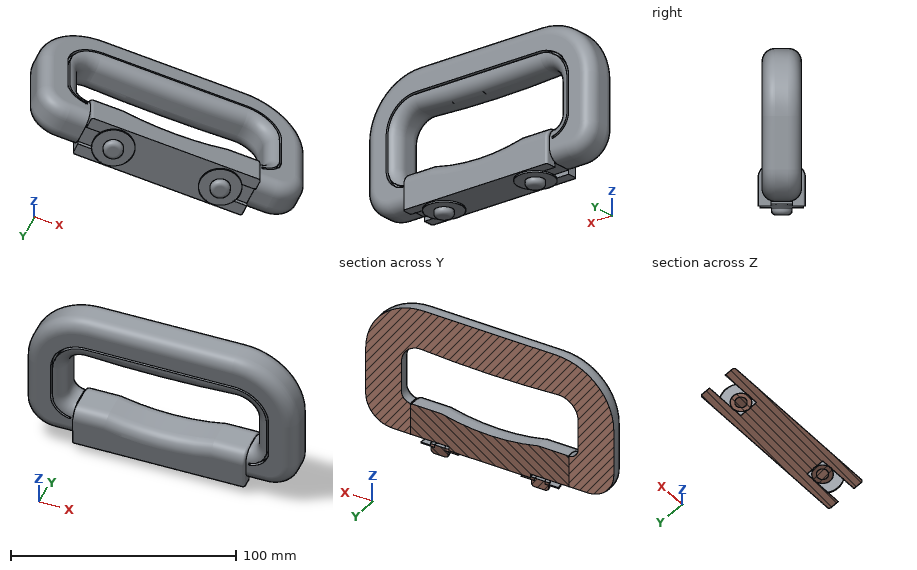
import cadquery as cq
import math


LOOP_LENGTH = 129.0
LOOP_HEIGHT = 68.0
LOOP_DEPTH = 17.5
OUTER_TOP_RADIUS = 30.0
OUTER_BOTTOM_RADIUS = 14.0
ROUND_RADIUS = 5.9

SIDE_WIDTH = 18.8
TOP_WIDTH = 21.0
GRIP_CROWN = 1.2
OPENING_BOTTOM = 16.5
OPENING_TOP_RADIUS = 9.8
OPENING_BOTTOM_RADIUS = 4.8

GROOVE_WIDTH = 1.0
GROOVE_DEPTH = 2.0
GROOVE_SIDE_INSET = 13.0
GROOVE_TOP_INSET = 13.9
GROOVE_BOTTOM = 10.6
GROOVE_TOP_RADIUS = 16.5
GROOVE_BOTTOM_RADIUS = 10.5
GROOVE_END_X = 43.0

BAR_LENGTH = 82.2
BAR_DEPTH = 21.0
BAR_BOTTOM = -2.0
BAR_TOP = OPENING_BOTTOM
BAR_END_RADIUS = 1.2
SADDLE_LENGTH = 50.0
SADDLE_DIP = 3.0

SCREW_SPACING = 52.0
WASHER_DIAMETER = 19.4
WASHER_THICKNESS = 0.8
HUB_DIAMETER = 9.7
HUB_HEIGHT = 0.9
HEAD_DIAMETER = 9.2
HEAD_HEIGHT = 3.2
HEAD_ROUND = 1.9
SHANK_DIAMETER = 5.2

HUB_TOP = BAR_BOTTOM + HUB_HEIGHT
WASHER_BOTTOM = BAR_BOTTOM - WASHER_THICKNESS
SCREW_POSITIONS = (-SCREW_SPACING / 2, SCREW_SPACING / 2)


def rounded_frame(half_width, bottom, top, bottom_radius, top_radius, crown=0.0):
    """Upright rounded rectangle in XZ; its top side may sag by crown at mid-length."""
    diagonal = 1 - math.sqrt(0.5)
    low_x = half_width - bottom_radius
    high_x = half_width - top_radius
    low_mid = (half_width - bottom_radius * diagonal, bottom + bottom_radius * diagonal)
    high_mid = (half_width - top_radius * diagonal, top - top_radius * diagonal)
    outline = (
        cq.Workplane("XZ")
        .moveTo(-low_x, bottom)
        .lineTo(low_x, bottom)
        .threePointArc(low_mid, (half_width, bottom + bottom_radius))
        .lineTo(half_width, top - top_radius)
        .threePointArc(high_mid, (high_x, top))
    )
    if crown:
        outline = outline.threePointArc((0, top - crown), (-high_x, top))
    else:
        outline = outline.lineTo(-high_x, top)
    return (
        outline
        .threePointArc((-high_mid[0], high_mid[1]), (-half_width, top - top_radius))
        .lineTo(-half_width, bottom + bottom_radius)
        .threePointArc((-low_mid[0], low_mid[1]), (-low_x, bottom))
        .close()
    )


def groove_frame(offset):
    """Solid frame whose outline runs at the given offset outside the groove centreline."""
    return rounded_frame(
        LOOP_LENGTH / 2 - GROOVE_SIDE_INSET + offset,
        GROOVE_BOTTOM - offset,
        LOOP_HEIGHT - GROOVE_TOP_INSET + offset,
        GROOVE_BOTTOM_RADIUS + offset,
        GROOVE_TOP_RADIUS + offset,
    ).extrude(LOOP_DEPTH, both=True)


def make_groove():
    """Groove cutter for both faces, with round ends just short of the crossbar."""
    corner_x = LOOP_LENGTH / 2 - GROOVE_SIDE_INSET - GROOVE_BOTTOM_RADIUS
    corner_z = GROOVE_BOTTOM + GROOVE_BOTTOM_RADIUS
    end_z = corner_z - math.sqrt(GROOVE_BOTTOM_RADIUS**2 - (GROOVE_END_X - corner_x) ** 2)
    middle = cq.Workplane("XY").box(2 * GROOVE_END_X, 3 * LOOP_DEPTH, 2 * corner_z)
    round_ends = (
        cq.Workplane("XZ")
        .pushPoints([(-GROOVE_END_X, end_z), (GROOVE_END_X, end_z)])
        .circle(GROOVE_WIDTH / 2)
        .extrude(LOOP_DEPTH, both=True)
    )
    core = cq.Workplane("XY").box(
        LOOP_LENGTH, LOOP_DEPTH - 2 * GROOVE_DEPTH, 3 * LOOP_HEIGHT
    )
    band = groove_frame(GROOVE_WIDTH / 2).cut(groove_frame(-GROOVE_WIDTH / 2))
    return band.cut(middle).union(round_ends).cut(core)


def make_loop():
    """Rounded carrying loop, open at the bottom where the crossbar sits."""
    outer = rounded_frame(
        LOOP_LENGTH / 2, 0, LOOP_HEIGHT, OUTER_BOTTOM_RADIUS, OUTER_TOP_RADIUS
    ).extrude(LOOP_DEPTH / 2, both=True)
    opening = rounded_frame(
        LOOP_LENGTH / 2 - SIDE_WIDTH,
        OPENING_BOTTOM,
        LOOP_HEIGHT - TOP_WIDTH,
        OPENING_BOTTOM_RADIUS,
        OPENING_TOP_RADIUS,
        GRIP_CROWN,
    ).extrude(LOOP_DEPTH, both=True)
    loop = outer.cut(opening).faces("<Y or >Y").edges().fillet(ROUND_RADIUS)
    gap = cq.Workplane("XY").box(BAR_LENGTH, 2 * LOOP_DEPTH, 2 * OPENING_BOTTOM)
    return loop.cut(gap).cut(make_groove())


def make_bar():
    """Crossbar with a dished, rounded top and a slot from each end for the washer hubs."""
    half_length = BAR_LENGTH / 2
    half_saddle = SADDLE_LENGTH / 2
    bar = (
        cq.Workplane("XZ")
        .moveTo(-half_length, BAR_BOTTOM)
        .lineTo(half_length, BAR_BOTTOM)
        .lineTo(half_length, BAR_TOP)
        .lineTo(half_saddle, BAR_TOP)
        .threePointArc((0, BAR_TOP - SADDLE_DIP), (-half_saddle, BAR_TOP))
        .lineTo(-half_length, BAR_TOP)
        .close()
        .extrude(BAR_DEPTH / 2, both=True)
    )
    upper_region = cq.selectors.BoxSelector(
        (-half_length, -BAR_DEPTH, BAR_TOP / 2), (half_length, BAR_DEPTH, 2 * BAR_TOP)
    )
    bar = bar.faces("<Y or >Y").edges(upper_region).fillet(ROUND_RADIUS)
    bar = bar.faces("<X or >X").edges("not <Z").fillet(BAR_END_RADIUS)
    slot_end = (SCREW_SPACING - HUB_DIAMETER) / 2
    slot_length = half_length - slot_end
    for side in (-1, 1):
        slot = cq.Workplane("XY").box(slot_length, HUB_DIAMETER, -2 * BAR_BOTTOM)
        bar = bar.cut(slot.translate((side * (slot_end + slot_length / 2), 0, BAR_BOTTOM)))
    return bar


def make_washer(x):
    """Washer under the crossbar, with a hub that stands in the slot."""
    washer = (
        cq.Workplane("XY", origin=(x, 0, WASHER_BOTTOM))
        .circle(WASHER_DIAMETER / 2)
        .extrude(WASHER_THICKNESS)
        .faces(">Z")
        .workplane()
        .circle(HUB_DIAMETER / 2)
        .extrude(HUB_HEIGHT)
    )
    return washer.faces(">Z").workplane().hole(SHANK_DIAMETER)


def make_screw(x):
    """Round-headed screw; its shank fills the washer bore up to the hub top."""
    head = (
        cq.Workplane("XY", origin=(x, 0, WASHER_BOTTOM))
        .circle(HEAD_DIAMETER / 2)
        .extrude(-HEAD_HEIGHT)
        .faces("<Z")
        .edges()
        .fillet(HEAD_ROUND)
    )
    shank = (
        cq.Workplane("XY", origin=(x, 0, WASHER_BOTTOM))
        .circle(SHANK_DIAMETER / 2)
        .extrude(HUB_TOP - WASHER_BOTTOM)
    )
    return head.union(shank)


loop = make_loop()
bar = make_bar()
washers = [make_washer(x) for x in SCREW_POSITIONS]
screws = [make_screw(x) for x in SCREW_POSITIONS]

result = cq.Compound.makeCompound([
    loop.val(),
    bar.val(),
    *[washer.val() for washer in washers],
    *[screw.val() for screw in screws],
])